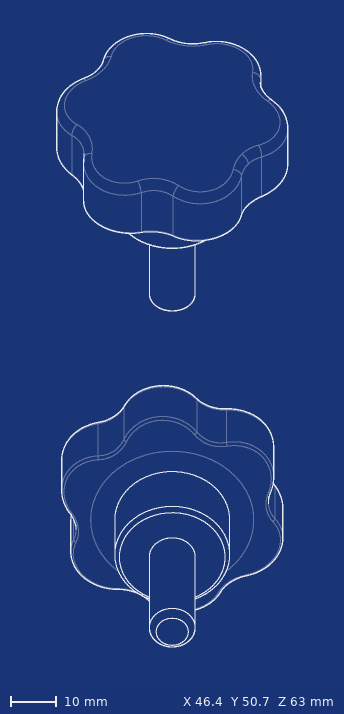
import cadquery as cq
import math

pin_diameter = 10.0
pin_length = 30.0
pin_chamfer_height = 1.6
pin_tip_diameter = 7.0

boss_diameter = 25.0
boss_height = 15.0
boss_chamfer = 1.0

overall_height = 62.96
lobe_count = 6
lobe_center_radius = 16.0
lobe_radius = 9.35
valley_radius = 7.25
dome_radius = 165.0
underside_flat_diameter = 35.5
underside_angle = 13.5
top_fillet = 2.0
bottom_fillet = 0.7

boss_base_z = pin_length
grip_base_z = boss_base_z + boss_height

half_pitch = math.pi / lobe_count
tip_radius = lobe_center_radius + lobe_radius
center_distance = lobe_radius + valley_radius
half_lobe_spacing = lobe_center_radius * math.sin(half_pitch)
valley_center_radius = lobe_center_radius * math.cos(half_pitch) + math.sqrt(
    center_distance**2 - half_lobe_spacing**2
)
first_lobe_angle = math.pi / 2


def polar(radius, angle):
    return (radius * math.cos(angle), radius * math.sin(angle))


def tangent_point(lobe_angle, side):
    """Point where a lobe meets the valley on its clockwise (-1) or counterclockwise (+1) side."""
    lobe_x, lobe_y = polar(lobe_center_radius, lobe_angle)
    valley_x, valley_y = polar(valley_center_radius, lobe_angle + side * half_pitch)
    share = lobe_radius / center_distance
    return (lobe_x + share * (valley_x - lobe_x), lobe_y + share * (valley_y - lobe_y))


def make_lobed_prism():
    """Lobed outline of alternating convex and concave arcs, extruded over the grip height."""
    outline = cq.Workplane("XY", origin=(0, 0, grip_base_z)).moveTo(*tangent_point(first_lobe_angle, -1))
    for index in range(lobe_count):
        lobe_angle = first_lobe_angle + index * 2 * half_pitch
        next_lobe_angle = lobe_angle + 2 * half_pitch
        valley_bottom = polar(valley_center_radius - valley_radius, lobe_angle + half_pitch)
        outline = outline.threePointArc(polar(tip_radius, lobe_angle), tangent_point(lobe_angle, 1))
        outline = outline.threePointArc(valley_bottom, tangent_point(next_lobe_angle, -1))
    return outline.close().extrude(overall_height - grip_base_z)


def make_grip_envelope():
    """Turned blank with a conical underside and a domed top, wider than the lobes."""
    blank_radius = tip_radius + top_fillet
    flat_radius = underside_flat_diameter / 2
    cone_rise = (blank_radius - flat_radius) * math.tan(math.radians(underside_angle))

    def dome_z(radius):
        return overall_height - dome_radius + math.sqrt(dome_radius**2 - radius**2)

    return (
        cq.Workplane("XZ")
        .moveTo(0, grip_base_z)
        .lineTo(flat_radius, grip_base_z)
        .lineTo(blank_radius, grip_base_z + cone_rise)
        .lineTo(blank_radius, dome_z(blank_radius))
        .threePointArc((blank_radius / 2, dome_z(blank_radius / 2)), (0, overall_height))
        .close()
        .revolve(360, (0, 0, 0), (0, 1, 0))
    )


def make_grip():
    """Domed lobed grip, rounded along its top and underside rims."""
    grip = make_lobed_prism().intersect(make_grip_envelope())
    grip = grip.faces(">Z").edges().fillet(top_fillet)
    underside_rim = grip.faces("%CONE").edges("not %CIRCLE")
    return underside_rim.fillet(bottom_fillet)


def make_stem():
    """Boss and pin turned as one profile, chamfered at both lower ends."""
    boss_radius = boss_diameter / 2
    pin_radius = pin_diameter / 2
    return (
        cq.Workplane("XZ")
        .moveTo(0, 0)
        .lineTo(pin_tip_diameter / 2, 0)
        .lineTo(pin_radius, pin_chamfer_height)
        .lineTo(pin_radius, boss_base_z)
        .lineTo(boss_radius - boss_chamfer, boss_base_z)
        .lineTo(boss_radius, boss_base_z + boss_chamfer)
        .lineTo(boss_radius, grip_base_z)
        .lineTo(0, grip_base_z)
        .close()
        .revolve(360, (0, 0, 0), (0, 1, 0))
    )


result = make_grip().union(make_stem())